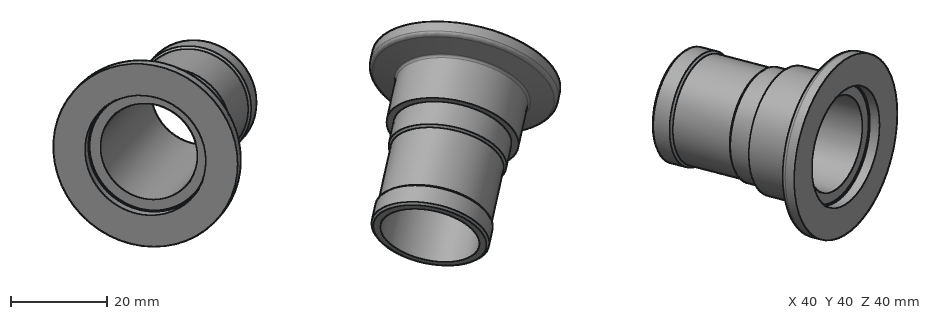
import cadquery as cq
import math

length = 40.0

flange_diameter = 40.0
rim_width = 2.3
cone_angle = 15.0
edge_radius = 1.0
root_radius = 0.6

collar_diameter = 28.0
collar_end = 15.0
land_diameter = 25.0
neck_diameter = 24.0
neck_start = 21.0
neck_end = 35.0
land_chamfer = (land_diameter - neck_diameter) / 2

bore_diameter = 21.0
seat_diameter = 26.2
seat_depth = 2.6
seat_chamfer = 0.25

flange_radius = flange_diameter / 2
collar_radius = collar_diameter / 2
land_radius = land_diameter / 2
neck_radius = neck_diameter / 2
bore_radius = bore_diameter / 2
seat_radius = seat_diameter / 2

rim_corner = rim_width + edge_radius * math.tan(math.radians(90 - cone_angle) / 2)
cone_rise = (flange_radius - collar_radius) * math.tan(math.radians(cone_angle))
collar_start = rim_corner + cone_rise

front_y = -length / 2


def revolve_profile(points):
    """Turn (radius, distance from the flange face) points about the Y axis."""
    placed = [(radius, front_y + distance) for radius, distance in points]
    return cq.Workplane("XY").polyline(placed).close().revolve(360, (0, 0), (0, 1))


def round_circle(body, radius, distance, fillet_radius):
    """Round the circular edge at the given radius and distance from the flange face."""
    tolerance = 0.005
    y = front_y + distance
    corner = cq.selectors.BoxSelector(
        (-radius - tolerance, y - tolerance, -radius - tolerance),
        (radius + tolerance, y + tolerance, radius + tolerance),
        boundingbox=True,
    )
    return body.edges(corner).fillet(fillet_radius)


def make_outside():
    body = revolve_profile([
        (0, 0),
        (flange_radius, 0),
        (flange_radius, rim_corner),
        (collar_radius, collar_start),
        (collar_radius, collar_end),
        (land_radius, collar_end),
        (land_radius, neck_start - land_chamfer),
        (neck_radius, neck_start),
        (neck_radius, neck_end),
        (land_radius, neck_end + land_chamfer),
        (land_radius, length - land_chamfer),
        (land_radius - land_chamfer, length),
        (0, length),
    ])
    body = round_circle(body, flange_radius, rim_corner, edge_radius)
    return round_circle(body, collar_radius, collar_start, root_radius)


def make_inside():
    return revolve_profile([
        (0, 0),
        (seat_radius, 0),
        (seat_radius, seat_depth - seat_chamfer),
        (seat_radius - seat_chamfer, seat_depth),
        (bore_radius, seat_depth),
        (bore_radius, length),
        (0, length),
    ])


result = make_outside().cut(make_inside())